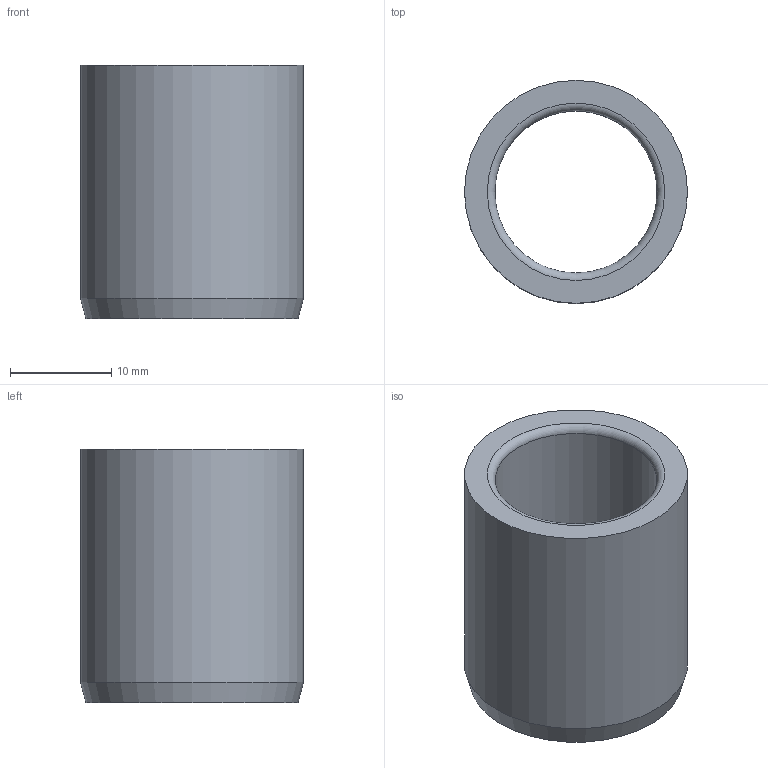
import cadquery as cq
import math

outer_diameter = 22.0
bore_diameter = 16.0
length = 25.0

lead_in_length = 2.0
lead_in_angle = 15.0

mouth_radius = 0.75

outer_radius = outer_diameter / 2
lead_in_depth = lead_in_length * math.tan(math.radians(lead_in_angle))


def make_body():
    """Cylinder standing on Z = 0 with its lower rim tapered."""
    profile = (
        cq.Workplane("XZ")
        .lineTo(outer_radius - lead_in_depth, 0)
        .lineTo(outer_radius, lead_in_length)
        .lineTo(outer_radius, length)
        .lineTo(0, length)
        .close()
    )
    return profile.revolve(360, (0, 0, 0), (0, 1, 0))


def cut_bore(body):
    """Through bore along the axis, with its top edge rounded over."""
    bored = body.faces(">Z").workplane().hole(bore_diameter)
    mouth_edge = cq.selectors.RadiusNthSelector(0)
    return bored.faces(">Z").edges(mouth_edge).fillet(mouth_radius)


result = cut_bore(make_body())